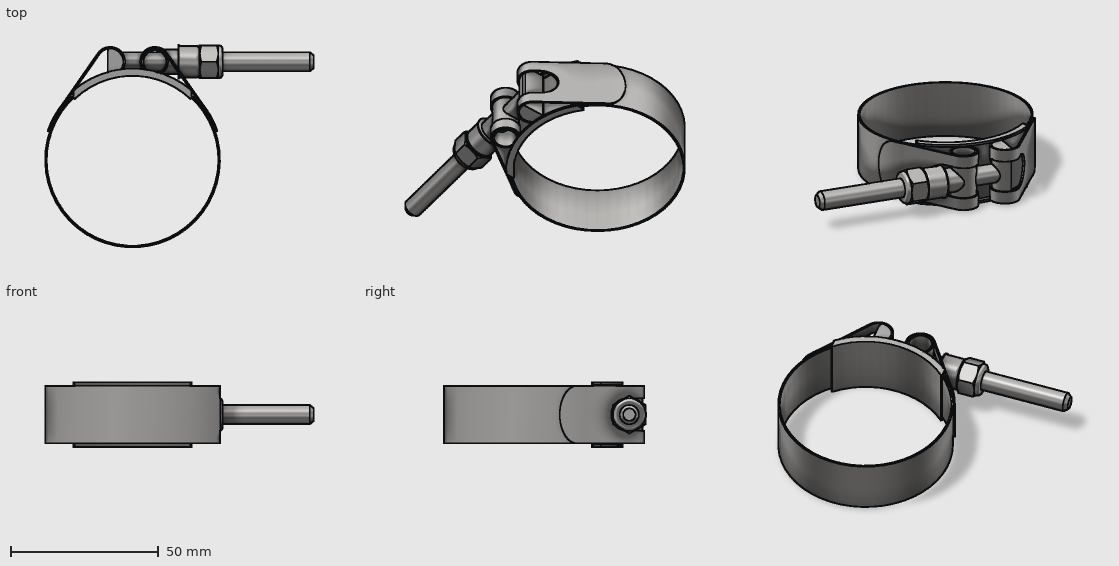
import cadquery as cq
import math


ring_outer_radius = 29.6
band_thickness = 0.6
band_width = 19.5
ring_inner_radius = ring_outer_radius - band_thickness
foot_gap = 0.1
foot_inner_radius = ring_outer_radius + foot_gap
foot_outer_radius = foot_inner_radius + band_thickness
foot_start_angle = 141.3
foot_tip_height = 9.65
foot_tip_length = 5.9

bolt_axis_height = 33.2
loop_inner_radius = 4.45
loop_outer_radius = loop_inner_radius + band_thickness
loop_distance = ring_inner_radius + loop_outer_radius
loop_offset = math.sqrt(loop_distance**2 - bolt_axis_height**2)
loop_angle = math.degrees(math.atan2(bolt_axis_height, -loop_offset))

window_radius = 5.5
anchor_window_bottom = 28.9
trunnion_window_bottom = 27.0

bridge_half_length = 20.0
bridge_width = 22.0
bridge_wall = 0.8
bridge_inner_radius = 28.4
bridge_outer_radius = 30.9

bolt_radius = 3.25
bolt_end = 61.36
bolt_tip_length = 1.4
bolt_tip_radius = 2.1
pin_flat_offset = 0.9
pin_bevel_height = 0.7
pin_bevel_depth = 0.3

tube_wall = 0.6
sleeve_radius = 4.2
collar_start = 15.4
flange_radius = 5.69
flange_thickness = 0.3
flare_length = 0.7
flare_bow = 0.3
collar_radius = 5.4
collar_end_round = 1.0

nut_start = 22.5
nut_end = 30.45
nut_across_flats = 11.1
nut_lip_length = 0.3
nut_shoulder_length = 1.5
nut_end_round = 1.2
nut_chamfer_angle = 30

quarter_arc_middle = 45


def polar(radius, degrees, center=(0, 0)):
    angle = math.radians(degrees)
    return (center[0] + radius * math.cos(angle), center[1] + radius * math.sin(angle))


def arc_strip(center, inner, outer, start, end, width):
    """A curved strip between two radii and two angles, centred on Z = 0."""
    middle = (start + end) / 2
    return (
        cq.Workplane("XY")
        .moveTo(*polar(outer, start, center))
        .threePointArc(polar(outer, middle, center), polar(outer, end, center))
        .lineTo(*polar(inner, end, center))
        .threePointArc(polar(inner, middle, center), polar(inner, start, center))
        .close()
        .extrude(width / 2, both=True)
    )


def z_cylinder(center, radius, length):
    return cq.Workplane("XY").center(*center).circle(radius).extrude(length / 2, both=True)


def x_cylinder(radius, start, end, height=bolt_axis_height):
    return cq.Workplane("YZ", origin=(start, height, 0)).circle(radius).extrude(end - start)


def turned(profile):
    """Revolve a closed (x, y) sketch about the bolt axis."""
    return profile.revolve(360, (0, 0, 0), (1, 0, 0))


def bolt_sketch():
    return cq.Workplane("XY", origin=(0, bolt_axis_height, 0))


left_loop_center = (-loop_offset, bolt_axis_height)
right_loop_center = (loop_offset, bolt_axis_height)


def loop_window(bottom):
    reach = 2 * ring_outer_radius
    center_height = bottom + window_radius
    round_end = x_cylinder(window_radius, -reach, reach, center_height)
    open_top = cq.Workplane("XY").box(2 * reach, reach, 2 * window_radius)
    return round_end.union(open_top.translate((0, center_height + reach / 2, 0)))


def foot_outline():
    """Block with a half-elliptical lower end, as wide as the band."""
    tip_center = foot_tip_height + foot_tip_length
    tip = (
        cq.Workplane("YZ", origin=(-foot_outer_radius, tip_center, 0))
        .ellipse(foot_tip_length, band_width / 2)
        .extrude(foot_outer_radius)
    )
    block = cq.Workplane("XY").box(
        foot_outer_radius, foot_outer_radius, band_width, centered=(False, False, True)
    )
    return tip.union(block.translate((-foot_outer_radius, tip_center, 0)))


def make_left_loop(window_bottom):
    """Loop, straight strap and rounded foot on the -X side."""
    landing = polar(foot_outer_radius, foot_start_angle)
    to_loop = (left_loop_center[0] - landing[0], left_loop_center[1] - landing[1])
    strap_normal = math.degrees(
        math.atan2(-to_loop[1], -to_loop[0]) - math.acos(loop_outer_radius / math.hypot(*to_loop))
    ) % 360
    loop = arc_strip(
        left_loop_center,
        loop_inner_radius,
        loop_outer_radius,
        loop_angle - 180,
        strap_normal,
        band_width,
    )
    strap = (
        cq.Workplane("XY")
        .polyline(
            [
                polar(loop_outer_radius, strap_normal, left_loop_center),
                landing,
                polar(foot_inner_radius, foot_start_angle),
                polar(loop_inner_radius, strap_normal, left_loop_center),
            ]
        )
        .close()
        .extrude(band_width / 2, both=True)
    )
    foot = arc_strip((0, 0), foot_inner_radius, foot_outer_radius, foot_start_angle, 180, band_width)
    return loop.union(strap).cut(loop_window(window_bottom)).union(foot.intersect(foot_outline()))


def make_band():
    ring = arc_strip(
        (0, 0), ring_inner_radius, ring_outer_radius, loop_angle, 540 - loop_angle, band_width
    )
    anchor_loop = make_left_loop(anchor_window_bottom)
    trunnion_loop = make_left_loop(trunnion_window_bottom).mirror("YZ")
    return ring.union(anchor_loop).union(trunnion_loop)


def make_bridge():
    web_end_angle = math.degrees(math.acos(bridge_half_length / ring_inner_radius))
    bridge = arc_strip(
        (0, 0), bridge_inner_radius, ring_inner_radius, web_end_angle, 180 - web_end_angle, bridge_width
    )
    wall = (
        cq.Workplane("XY")
        .circle(bridge_outer_radius)
        .circle(ring_inner_radius)
        .extrude(bridge_wall)
        .intersect(
            cq.Workplane("XY")
            .center(0, bridge_outer_radius / 2)
            .rect(2 * bridge_half_length, bridge_outer_radius)
            .extrude(bridge_wall)
        )
    )
    for bottom in (-bridge_width / 2, bridge_width / 2 - bridge_wall):
        bridge = bridge.union(wall.translate((0, 0, bottom)))
    return bridge


def make_t_bolt():
    flat_half = math.sqrt(loop_inner_radius**2 - pin_flat_offset**2)
    bevel_x = pin_bevel_depth - pin_flat_offset
    bevel_half = math.sqrt(loop_inner_radius**2 - bevel_x**2)
    pin = (
        cq.Workplane("XY")
        .center(*left_loop_center)
        .moveTo(-pin_flat_offset, pin_bevel_height - flat_half)
        .lineTo(bevel_x, -bevel_half)
        .threePointArc((loop_inner_radius, 0), (bevel_x, bevel_half))
        .lineTo(-pin_flat_offset, flat_half - pin_bevel_height)
        .close()
        .extrude(band_width / 2, both=True)
    )
    shank = turned(
        bolt_sketch()
        .moveTo(-loop_offset, 0)
        .lineTo(-loop_offset, bolt_radius)
        .lineTo(bolt_end - bolt_tip_length, bolt_radius)
        .lineTo(bolt_end, bolt_tip_radius)
        .lineTo(bolt_end, 0)
        .close()
    )
    return pin.union(shank)


def make_trunnion():
    tube = z_cylinder(right_loop_center, loop_inner_radius, band_width)
    tube = tube.cut(z_cylinder(right_loop_center, loop_inner_radius - tube_wall, band_width))
    return tube.cut(x_cylinder(bolt_radius, 0, 2 * loop_offset))


def make_spacer():
    flare_start = collar_start + flange_thickness
    flare_end = flare_start + flare_length
    flare_middle = (
        flare_start + flare_bow * flare_length,
        collar_radius + flare_bow * (flange_radius - collar_radius),
    )
    round_start = nut_start - collar_end_round
    round_center = (round_start, collar_radius - collar_end_round)
    round_middle = polar(collar_end_round, quarter_arc_middle, round_center)
    body = turned(
        bolt_sketch()
        .moveTo(loop_offset, bolt_radius)
        .lineTo(loop_offset, sleeve_radius)
        .lineTo(collar_start, sleeve_radius)
        .lineTo(collar_start, flange_radius)
        .lineTo(flare_start, flange_radius)
        .threePointArc(flare_middle, (flare_end, collar_radius))
        .lineTo(round_start, collar_radius)
        .threePointArc(round_middle, (nut_start, collar_radius - collar_end_round))
        .lineTo(nut_start, bolt_radius)
        .close()
    )
    return body.cut(z_cylinder(right_loop_center, loop_inner_radius, band_width))


def make_nut():
    corner_radius = nut_across_flats / math.sqrt(3)
    flat_radius = nut_across_flats / 2
    chamfer_length = (corner_radius - flat_radius) * math.tan(math.radians(nut_chamfer_angle))
    hex_start = nut_start + nut_lip_length
    shoulder_start = nut_end - nut_shoulder_length
    round_start = nut_end - nut_end_round
    round_center = (round_start, flat_radius - nut_end_round)
    round_middle = polar(nut_end_round, quarter_arc_middle, round_center)
    envelope = turned(
        bolt_sketch()
        .moveTo(nut_start, bolt_radius)
        .lineTo(nut_start, flat_radius)
        .lineTo(hex_start, flat_radius)
        .lineTo(hex_start + chamfer_length, corner_radius)
        .lineTo(shoulder_start - chamfer_length, corner_radius)
        .lineTo(shoulder_start, flat_radius)
        .lineTo(round_start, flat_radius)
        .threePointArc(round_middle, (nut_end, flat_radius - nut_end_round))
        .lineTo(nut_end, bolt_radius)
        .close()
    )
    hexagon = (
        cq.Workplane("YZ", origin=(nut_start, bolt_axis_height, 0))
        .transformed(rotate=(0, 0, 90))
        .polygon(6, 2 * corner_radius)
        .extrude(nut_end - nut_start)
    )
    return envelope.intersect(hexagon)


band = make_band().solids()
bridge = make_bridge().solids()
t_bolt = make_t_bolt().solids()
trunnion = make_trunnion().solids()
spacer = make_spacer().solids()
nut = make_nut().solids()

result = cq.Compound.makeCompound(
    [
        band.val(),
        bridge.val(),
        t_bolt.val(),
        trunnion.val(),
        spacer.val(),
        nut.val(),
    ]
)